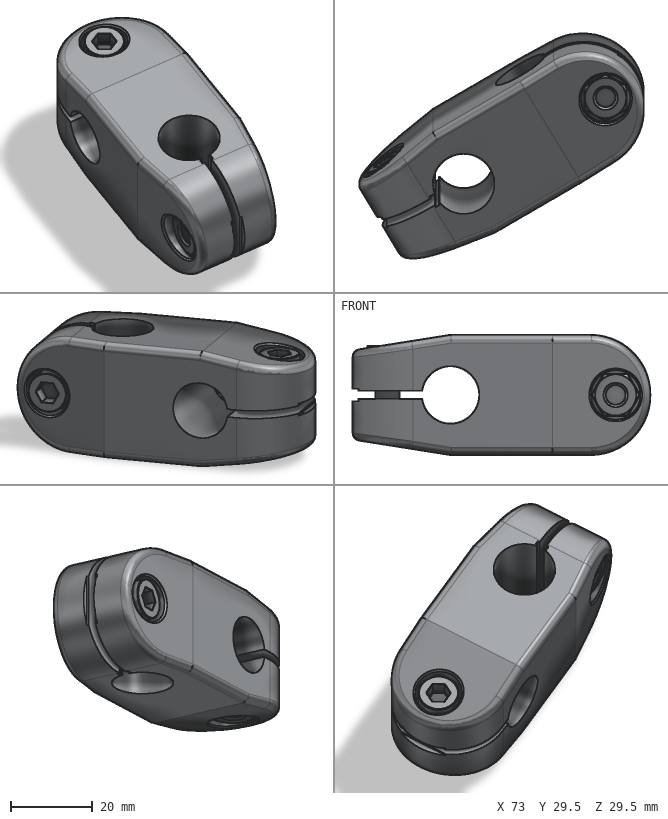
import cadquery as cq
import math

length = 73.0
width = 29.5
half_length = length / 2
half_width = width / 2
edge_radius = 2.0
taper_angle = 9.0

shaft_offset = 12.5
left_bore_radius = 7.0
right_bore_radius = 7.5

slot_width = 2.0
relief_width = 3.0
relief_start = 35.05
groove_start = 20.2
groove_end = 21.3

screw_offset = 27.95
shank_radius = 3.0
head_radius = 5.0
head_height = 6.0
head_top = 12.05
head_chamfer = 0.2
head_seat = head_top - head_height
socket_flats = 5.05
socket_depth = 4.0
socket_chamfer = 0.11
counterbore_radius = 5.8

nut_flats = 10.1
nut_height = 5.0
nut_face = 10.8
nut_chamfer_angle = 30.0
nut_seat = nut_face - nut_height
nut_clearance = 0.15
nut_recess_radius = 6.05
nut_recess_floor = 10.4
thread_radius = 2.4
thread_countersink = 0.6
screw_end_depth = 0.9

mouth_chamfer = 0.45

half_turn_axis = (0, 1, 1)


def half_turn(shape):
    return shape.rotate((0, 0, 0), half_turn_axis, 180)


def across_corners(flats):
    """Corner-to-corner size of a hexagon from its size across flats."""
    return flats / math.cos(math.pi / 6)


def screw_plane(height):
    """Horizontal plane centred on the screw at the -X end."""
    return cq.Workplane("XY", origin=(-screw_offset, 0, height))


def side_profile():
    """Solid along Y: fully round at the +X end, tapered towards the -X end."""
    tip_half_height = half_width - (half_length - shaft_offset) * math.tan(math.radians(taper_angle))
    round_start = half_length - half_width
    return (
        cq.Workplane("XZ")
        .moveTo(-half_length, -tip_half_height)
        .lineTo(-shaft_offset, -half_width)
        .lineTo(round_start, -half_width)
        .threePointArc((half_length, 0), (round_start, half_width))
        .lineTo(-shaft_offset, half_width)
        .lineTo(-half_length, tip_half_height)
        .close()
        .extrude(half_width, both=True)
    )


def block():
    """Common volume of the profile and its half turn, rounded along the outline edges."""
    side = side_profile()
    outline_edges = "not(|Y or |Z)"
    return side.intersect(half_turn(side)).edges(outline_edges).fillet(edge_radius)


def bore(radius):
    """Shaft bore along Z at the +X end."""
    return cq.Workplane("XY").center(shaft_offset, 0).circle(radius).extrude(half_width, both=True)


def gap(start, end, opening):
    """Opening at the +X end that runs the full height and is centred on the XZ plane."""
    return cq.Workplane("XY").center((start + end) / 2, 0).box(end - start, opening, width)


def slot():
    """Slot from the bore to the +X tip, wider at the tip."""
    return gap(shaft_offset, half_length, slot_width).union(gap(relief_start, half_length, relief_width))


def screw_recesses():
    """Counterbore on top and nut recess below, at the -X end."""
    pocket_corners = across_corners(nut_flats + 2 * nut_clearance)
    counterbore = screw_plane(head_seat).circle(counterbore_radius).extrude(half_width - head_seat)
    nut_recess = screw_plane(-half_width).circle(nut_recess_radius).extrude(half_width - nut_recess_floor)
    nut_pocket = screw_plane(-half_width).polygon(6, pocket_corners).extrude(half_width - nut_seat)
    return counterbore.union(nut_recess).union(nut_pocket)


def chamfer_mouths(body):
    """Chamfer the recess mouths, which are the inner outlines of the tapered faces at the -X end."""
    slope = math.radians(taper_angle)
    mouths = []
    for side in (1, -1):
        tapered_normal = cq.Vector(-math.sin(slope), 0, side * math.cos(slope))
        tapered_face = body.faces(cq.selectors.DirectionMinMaxSelector(tapered_normal)).val()
        for wire in tapered_face.innerWires():
            mouths.extend(wire.Edges())
    return body.newObject(mouths).chamfer(mouth_chamfer)


def screw():
    shank_end = screw_end_depth - nut_face
    shank = screw_plane(shank_end).circle(shank_radius).extrude(head_seat - shank_end)
    head = screw_plane(head_seat).circle(head_radius).extrude(head_height)
    head = head.faces(">Z").chamfer(head_chamfer)
    socket = screw_plane(head_top).polygon(6, across_corners(socket_flats)).extrude(-socket_depth)
    head = head.cut(socket)
    return shank.union(head).faces(">Z").edges("not %CIRCLE").chamfer(socket_chamfer)


def nut():
    """Hexagon nut with chamfered corners and a countersunk thread on its outer face."""
    corner_radius = across_corners(nut_flats) / 2
    corner_inset = corner_radius - nut_flats / 2
    corner_drop = corner_inset * math.tan(math.radians(nut_chamfer_angle))
    hexagon = screw_plane(-nut_face).polygon(6, 2 * corner_radius).extrude(nut_height)
    turned_blank = screw_plane(-nut_face).circle(corner_radius).extrude(nut_height)
    turned_blank = turned_blank.faces("<Z").chamfer(corner_drop, corner_inset)
    thread = screw_plane(-nut_face).circle(thread_radius).extrude(screw_end_depth)
    countersink = (
        screw_plane(-nut_face)
        .circle(thread_radius + thread_countersink)
        .workplane(offset=thread_countersink)
        .circle(thread_radius)
        .loft()
    )
    return hexagon.intersect(turned_blank).cut(thread).cut(countersink)


body = block()
body = body.cut(bore(right_bore_radius)).cut(half_turn(bore(left_bore_radius)))
body = body.cut(slot()).cut(half_turn(slot())).cut(gap(groove_start, groove_end, relief_width))

for _ in range(2):
    body = half_turn(chamfer_mouths(body.cut(screw_recesses())))

fastener = screw().union(nut())
result = body.union(fastener).union(half_turn(fastener))